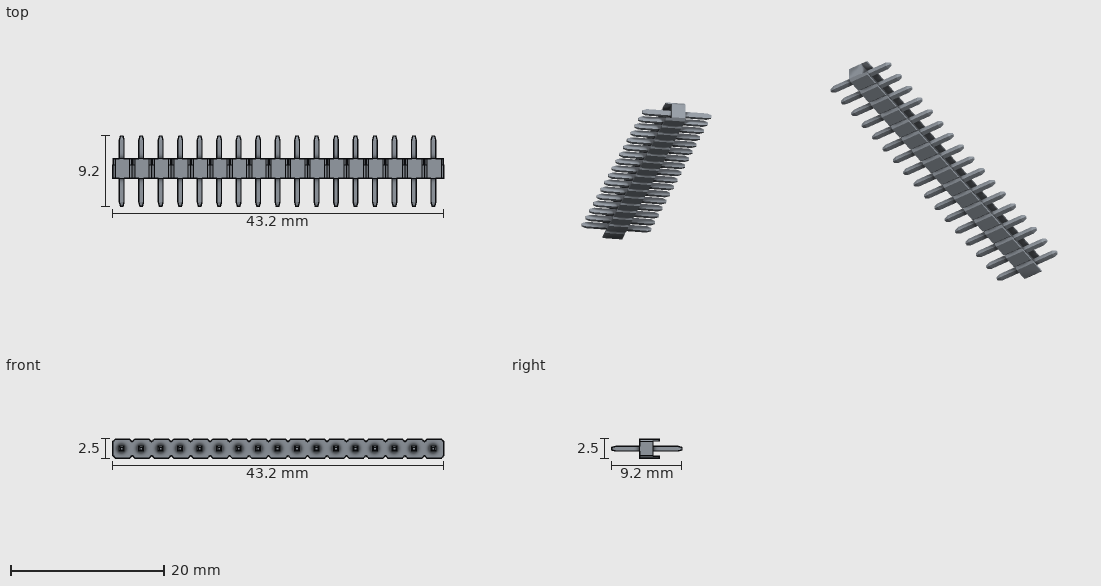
import cadquery as cq

length = 43.2
pin_count = 17
pitch = length / pin_count

body_height = 2.5
body_front_y = -0.95
body_back_y = 1.65
body_depth = body_back_y - body_front_y
cell_chamfer = 0.35

channel_depth = 0.8
lip_thickness = 0.28

pin_length = 9.2
pin_width = 0.65
taper_length = 0.55
tip_width = 0.35
pin_offset_x = -0.1


def cell_center(index):
    return (index - (pin_count - 1) / 2) * pitch


def make_cell(center_x):
    """One body cell with its four long edges chamfered."""
    return (
        cq.Workplane("XY")
        .box(pitch, body_depth, body_height)
        .edges("|Y")
        .chamfer(cell_chamfer)
        .translate((center_x, (body_front_y + body_back_y) / 2, 0))
    )


def make_channel():
    """Cutter for the open channel running the full length of the back."""
    return (
        cq.Workplane("XY")
        .box(length, channel_depth, body_height - 2 * lip_thickness)
        .translate((0, body_back_y - channel_depth / 2, 0))
    )


def make_pin():
    """A square pin along Y, centred on the origin, tapered at both ends."""
    shank_length = pin_length - 2 * taper_length
    pin = cq.Workplane("XY").box(pin_width, shank_length, pin_width)
    for end in ("<Y", ">Y"):
        taper = (
            pin.faces(end)
            .workplane(centerOption="CenterOfMass")
            .rect(pin_width, pin_width)
            .workplane(offset=taper_length)
            .rect(tip_width, tip_width)
            .loft(combine=False)
        )
        pin = pin.union(taper)
    return pin


body = make_cell(cell_center(0))
for index in range(1, pin_count):
    body = body.union(make_cell(cell_center(index)))

result = body.cut(make_channel())

pin = make_pin()
for index in range(pin_count):
    result = result.union(pin.translate((cell_center(index) + pin_offset_x, 0, 0)))